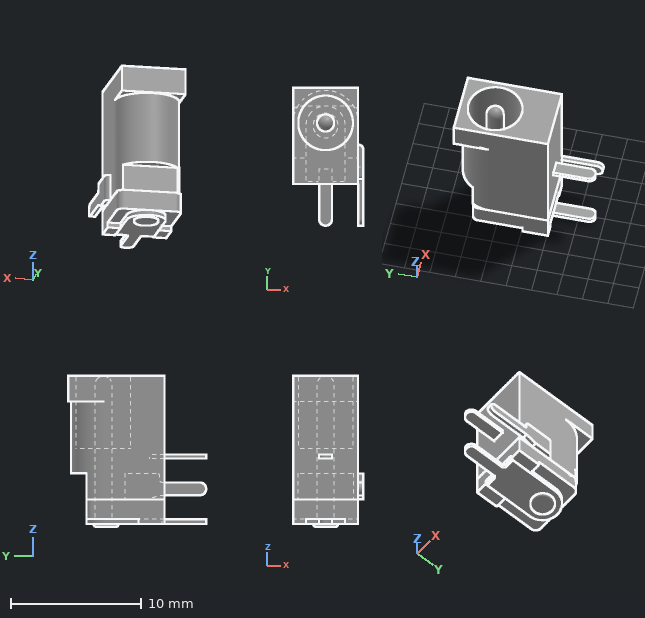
import cadquery as cq
import math


width = 5.0
half_width = width / 2
front_y = -4.7
flange_back_y = 2.7
top_z = 11.4
base_height = 1.9
flange_height = 2.0
barrel_radius = half_width
low_back_y = 1.3
low_back_height = 2.0
bore_diameter = 4.2
bore_floor_z = 5.8

base_corner_radius = 0.5
foot_length = 2.0

leg_width = 1.0
leg_end_y = -7.9
root_radius = 0.2

pin_diameter = 1.32
pin_tip_z = 11.37
plate_thickness = 0.4
plate_width = 3.0
plate_front_y = front_y + root_radius
plate_center_y = low_back_y - plate_width / 2
rivet_diameter = 1.9
overall_height = 11.6
rivet_height = overall_height - top_z
rivet_edge_radius = 0.19

contact_bottom_z = 5.05
contact_thickness = 0.32
contact_depth = 1.16

side_thickness = 0.41
side_back_y = -1.66
side_front_y = -4.3
side_height = 2.01
side_leg_bottom_z = 2.22
side_ramp_length = 0.93
side_bend_radius = 0.4


def box(x_min, x_max, y_min, y_max, z_min, z_max):
    """Box between the given limits along each axis."""
    return cq.Workplane("XY").box(
        x_max - x_min, y_max - y_min, z_max - z_min, centered=False
    ).translate((x_min, y_min, z_min))


def cylinder(diameter, z_min, z_max, y=0):
    """Upright cylinder centered on x = 0."""
    return cq.Workplane("XY", origin=(0, y, z_min)).circle(diameter / 2).extrude(z_max - z_min)


def flat_leg(root_y, bottom_z, thickness):
    """Horizontal leg running toward -Y with a fully rounded end."""
    half_leg = leg_width / 2
    return (
        cq.Workplane("XY", origin=(0, 0, bottom_z))
        .moveTo(-half_leg, root_y)
        .lineTo(-half_leg, leg_end_y + half_leg)
        .threePointArc((0, leg_end_y), (half_leg, leg_end_y + half_leg))
        .lineTo(half_leg, root_y)
        .close()
        .extrude(thickness)
    )


def make_pin_terminal():
    """Center pin, its riveted tail, and the plate and leg under the base."""
    plate = box(-plate_width / 2, plate_width / 2, plate_front_y, plate_center_y, 0, plate_thickness)
    plate = plate.union(cylinder(plate_width, 0, plate_thickness, plate_center_y))
    plate = plate.union(flat_leg(plate_center_y, 0, plate_thickness))
    half_leg = leg_width / 2
    for side in (-1, 1):
        fillet_center_x = side * (half_leg + root_radius)
        corner = box(
            min(side * half_leg, fillet_center_x), max(side * half_leg, fillet_center_x),
            front_y, plate_front_y, 0, plate_thickness,
        )
        round_cut = cylinder(2 * root_radius, 0, plate_thickness, front_y)
        plate = plate.union(corner.cut(round_cut.translate((fillet_center_x, 0, 0))))
    rivet = cylinder(rivet_diameter, -rivet_height, 0, plate_center_y)
    rivet = rivet.faces("<Z").edges().fillet(rivet_edge_radius)
    pin_radius = pin_diameter / 2
    dome = cq.Workplane("XY").sphere(pin_radius).translate((0, 0, pin_tip_z - pin_radius))
    pin = cylinder(pin_diameter, 0, pin_tip_z - pin_radius).union(dome)
    return plate.union(rivet).union(pin)


def make_contact_terminal():
    """Straight leg held in a slot in the front wall of the housing."""
    return flat_leg(front_y + contact_depth, contact_bottom_z, contact_thickness)


def make_side_terminal():
    """Upright plate on the +X wall with a leg toward -Y and a rounded rear edge."""
    plate_bottom_z = base_height
    plate_top_z = plate_bottom_z + side_height
    leg_top_z = side_leg_bottom_z + leg_width
    end_radius = leg_width / 2
    diagonal = math.sqrt(0.5)
    root_y = side_front_y - root_radius
    root_z = leg_top_z + root_radius
    corner_y = side_front_y + root_radius
    corner_z = plate_top_z - root_radius
    terminal = (
        cq.Workplane("YZ", origin=(half_width, 0, 0))
        .moveTo(side_back_y, plate_bottom_z)
        .lineTo(side_back_y, plate_top_z)
        .lineTo(corner_y, plate_top_z)
        .threePointArc(
            (corner_y - root_radius * diagonal, corner_z + root_radius * diagonal),
            (side_front_y, corner_z),
        )
        .lineTo(side_front_y, root_z)
        .threePointArc(
            (root_y + root_radius * diagonal, root_z - root_radius * diagonal),
            (root_y, leg_top_z),
        )
        .lineTo(leg_end_y + end_radius, leg_top_z)
        .threePointArc(
            (leg_end_y, side_leg_bottom_z + end_radius),
            (leg_end_y + end_radius, side_leg_bottom_z),
        )
        .lineTo(side_front_y, side_leg_bottom_z)
        .lineTo(side_front_y + side_ramp_length, plate_bottom_z)
        .close()
        .extrude(side_thickness)
    )
    return terminal.faces(">Y").edges(">X").fillet(side_bend_radius)


def make_housing(pin_terminal, contact_terminal):
    """Square front block and round-backed barrel under a flange, bored from the top."""
    body = box(-half_width, half_width, front_y, 0, base_height, top_z)
    body = body.union(cylinder(2 * barrel_radius, base_height, top_z))
    flange = box(-half_width, half_width, front_y, flange_back_y, top_z - flange_height, top_z)
    body = body.union(flange)
    step = box(
        -half_width, half_width, low_back_y, flange_back_y,
        base_height, base_height + low_back_height,
    )
    bore = cylinder(bore_diameter, bore_floor_z, top_z)
    return body.cut(step).cut(bore).cut(pin_terminal).cut(contact_terminal)


def make_base(pin_terminal):
    """Block under the housing, standing on two front feet beside the terminal plate."""
    block = box(-half_width, half_width, front_y, low_back_y, plate_thickness, base_height)
    block = block.edges("|Z and >Y").fillet(base_corner_radius)
    foot_back_y = front_y + foot_length
    for x_min in (-half_width, plate_width / 2):
        foot = box(x_min, x_min + half_width - plate_width / 2, front_y, foot_back_y, 0, plate_thickness)
        block = block.union(foot)
    return block.cut(pin_terminal)


pin_terminal = make_pin_terminal()
contact_terminal = make_contact_terminal()
side_terminal = make_side_terminal()
housing = make_housing(pin_terminal, contact_terminal)
base = make_base(pin_terminal)

result = cq.Compound.makeCompound([
    housing.val(),
    base.val(),
    pin_terminal.val(),
    contact_terminal.val(),
    side_terminal.val(),
])